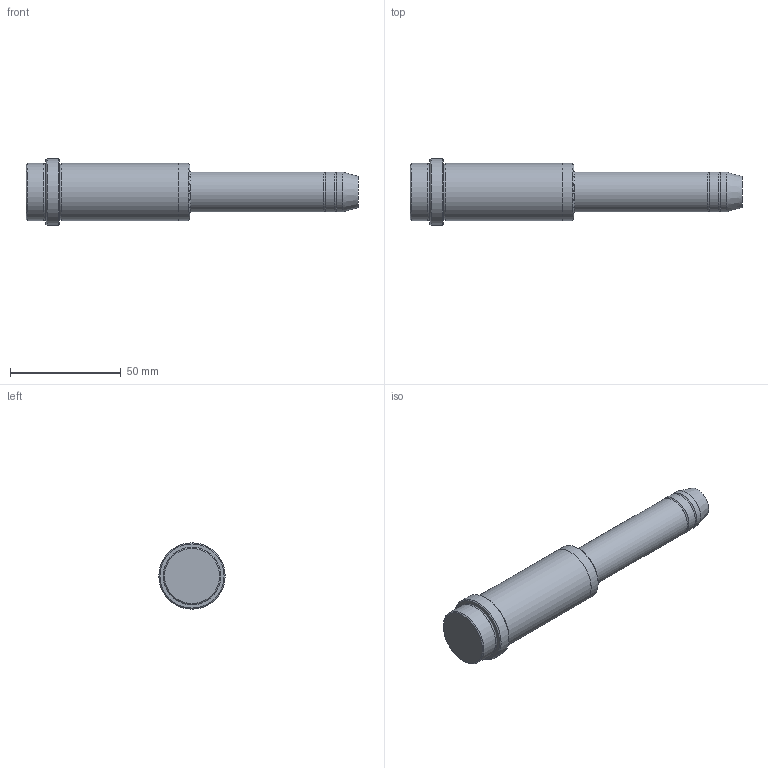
import cadquery as cq
import math

total_length = 150.0
body_diameter = 26.0
collar_diameter = 30.0
shank_diameter = 18.0

collar_start = 9.0
collar_width = 6.0
body_end = 74.0
lead_length = 5.0
nose_length = 7.0

head_chamfer = 0.5
collar_chamfer = 0.5
lead_chamfer = 0.5
shank_root_radius = 0.5

lead_clearance = 0.02

relief_width = 1.0
relief_depth = 0.45

groove_distances_from_tip = (15.0, 10.0)
groove_width = 1.0
groove_depth = groove_width / 2

nose_angle = math.radians(15.0)

cutter_overlap = 0.05

body_radius = body_diameter / 2
collar_radius = collar_diameter / 2
shank_radius = shank_diameter / 2
lead_radius = body_radius - lead_clearance
collar_end = collar_start + collar_width
lead_start = body_end - lead_length
nose_start = total_length - nose_length
tip_radius = shank_radius - nose_length * math.tan(nose_angle)


def revolve_about_axis(profile):
    """Turn a closed XZ profile, drawn as (X, radius), about the X axis."""
    return profile.revolve(360, (0, 0, 0), (1, 0, 0))


def cylinder(start, end, radius):
    """Solid cylinder on the X axis."""
    return cq.Workplane("YZ").workplane(offset=start).circle(radius).extrude(end - start)


def round_groove_cutter(center, surface_radius, width, depth):
    """Ring cutter with an arc-shaped bottom, centred at the given X."""
    start = center - width / 2
    end = center + width / 2
    top = surface_radius + cutter_overlap
    profile = (
        cq.Workplane("XZ")
        .moveTo(start, surface_radius)
        .threePointArc((center, surface_radius - depth), (end, surface_radius))
        .lineTo(end, top)
        .lineTo(start, top)
        .close()
    )
    return revolve_about_axis(profile)


def make_head():
    return cylinder(0, collar_start, body_radius).faces("<X").chamfer(head_chamfer)


def make_collar():
    return cylinder(collar_start, collar_end, collar_radius).edges().chamfer(collar_chamfer)


def make_body():
    """Fitted body followed by a slightly smaller lead with a chamfered end."""
    lead = cylinder(lead_start, body_end, lead_radius).faces(">X").chamfer(lead_chamfer)
    return cylinder(collar_end, lead_start, body_radius).union(lead)


def make_shank():
    """Shank with a concave root fillet and a conical nose."""
    root_end = body_end + shank_root_radius
    root_top = shank_radius + shank_root_radius
    arc_offset = shank_root_radius * math.sqrt(0.5)
    root_middle = (root_end - arc_offset, root_top - arc_offset)
    profile = (
        cq.Workplane("XZ")
        .moveTo(body_end, 0)
        .lineTo(body_end, root_top)
        .threePointArc(root_middle, (root_end, shank_radius))
        .lineTo(nose_start, shank_radius)
        .lineTo(total_length, tip_radius)
        .lineTo(total_length, 0)
        .close()
    )
    return revolve_about_axis(profile)


def cut_collar_reliefs(blank):
    """Reliefs in the head and the body, right beside the collar faces."""
    for center in (collar_start - relief_width / 2, collar_end + relief_width / 2):
        blank = blank.cut(round_groove_cutter(center, body_radius, relief_width, relief_depth))
    return blank


def cut_nose_grooves(blank):
    for distance in groove_distances_from_tip:
        center = total_length - distance
        blank = blank.cut(round_groove_cutter(center, shank_radius, groove_width, groove_depth))
    return blank


pin = make_head().union(make_collar()).union(make_body()).union(make_shank())
pin = cut_collar_reliefs(pin)
result = cut_nose_grooves(pin)